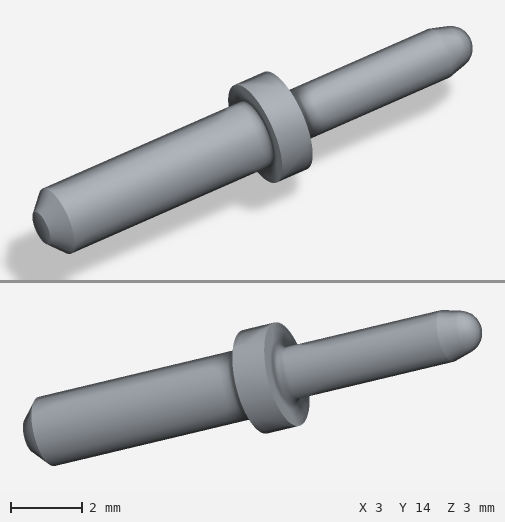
import cadquery as cq
import math

total_length = 14.0
body_length = 7.0
body_radius = 2.0 / 2
body_chamfer = 0.5

collar_radius = 3.0 / 2
collar_width = 1.0

pin_radius = 1.5 / 2
root_fillet = 0.2

tip_length = 1.0
tip_rounding = 0.59
taper_angle = math.radians(15)

body_end = -body_length
collar_end = collar_width
tip_end = total_length - body_length
taper_start = tip_end - tip_length
rounding_center = tip_end - tip_rounding

rounding_edge = rounding_center + tip_rounding * math.sin(taper_angle)
rounding_edge_radius = pin_radius - (rounding_edge - taper_start) * math.tan(taper_angle)
tip_flat_radius = rounding_edge_radius - tip_rounding * math.cos(taper_angle)

rounding_mid_angle = (math.pi / 2 + taper_angle) / 2
rounding_mid = (
    tip_flat_radius + tip_rounding * math.cos(rounding_mid_angle),
    rounding_center + tip_rounding * math.sin(rounding_mid_angle),
)
fillet_mid_offset = root_fillet * (1 - math.sqrt(0.5))
fillet_mid = (pin_radius + fillet_mid_offset, collar_end + fillet_mid_offset)

half_profile = (
    cq.Workplane("XY")
    .moveTo(0, body_end)
    .lineTo(body_radius - body_chamfer, body_end)
    .lineTo(body_radius, body_end + body_chamfer)
    .lineTo(body_radius, 0)
    .lineTo(collar_radius, 0)
    .lineTo(collar_radius, collar_end)
    .lineTo(pin_radius + root_fillet, collar_end)
    .threePointArc(fillet_mid, (pin_radius, collar_end + root_fillet))
    .lineTo(pin_radius, taper_start)
    .lineTo(rounding_edge_radius, rounding_edge)
    .threePointArc(rounding_mid, (tip_flat_radius, tip_end))
    .lineTo(0, tip_end)
    .close()
)

result = half_profile.revolve(360, (0, 0, 0), (0, 1, 0))